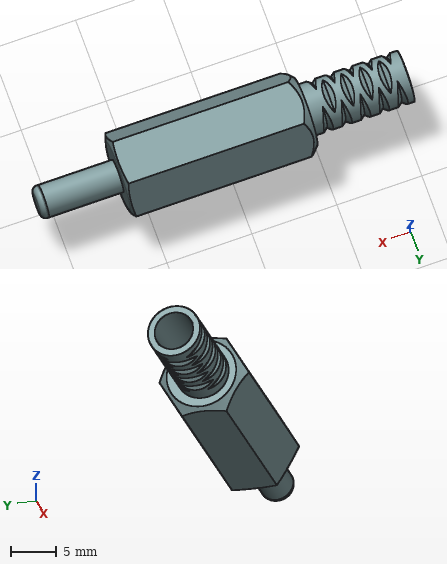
import cadquery as cq
import math

total_length = 43.5
sleeve_length = 11.85
plug_length = 9.55
tip_length = 0.83
hex_start = sleeve_length
hex_end = total_length - plug_length
barrel_end = total_length - tip_length

hex_across_corners = 10.3
hex_across_flats = 8.85
sleeve_offset = 0.152
sleeve_radius = 3.0
bore_radius = 2.2
plug_radius = 1.9
tip_fillet = 0.65

bevel_face_radius = 4.0
front_bevel_length = hex_across_corners / 2 - bevel_face_radius
rear_bevel_length = 0.35

groove_depth = 0.45
groove_angle = 105.0
groove_cutter_height = 1.3
side_groove_count = 5
first_groove = 1.35
side_groove_span = 8.8
groove_pitch = side_groove_span / (side_groove_count - 1)
side_groove_arc_radius = 3.4
top_groove_count = side_groove_count - 1
top_groove_arc_radius = 6.45


def cylinder(start, end, radius):
    """Solid cylinder along X."""
    return cq.Workplane("YZ", origin=(start, 0, 0)).circle(radius).extrude(end - start)


def make_hexagon():
    """Hexagonal bar with both ends bevelled by cones."""
    corner = hex_across_corners / 2
    flat = hex_across_flats / 2
    bar = (
        cq.Workplane("YZ", origin=(hex_start, 0, 0))
        .polyline([
            (corner, 0), (corner / 2, flat), (-corner / 2, flat),
            (-corner, 0), (-corner / 2, -flat), (corner / 2, -flat),
        ])
        .close()
        .extrude(hex_end - hex_start)
    )
    bevel_envelope = (
        cq.Workplane("XY")
        .polyline([
            (hex_start, 0),
            (hex_start, bevel_face_radius),
            (hex_start + front_bevel_length, corner),
            (hex_end - rear_bevel_length, corner),
            (hex_end, bevel_face_radius),
            (hex_end, 0),
        ])
        .close()
        .revolve(360, (0, 0, 0), (1, 0, 0))
    )
    return bar.intersect(bevel_envelope)


def make_groove_cutter(x, arc_radius, angle):
    """V-edged half ring whose axis is offset from the sleeve axis, so the groove fades out.

    The groove is deepest on +Y before it is turned by `angle` degrees about X.
    """
    bottom = sleeve_radius - groove_depth
    axis_y = bottom - arc_radius
    top = bottom + groove_cutter_height
    half_width = groove_cutter_height * math.tan(math.radians(groove_angle / 2))
    profile = (
        cq.Workplane("XY")
        .polyline([(x, bottom), (x - half_width, top), (x + half_width, top)])
        .close()
    )
    ring = profile.revolve(180, (0, axis_y, 0), (1, axis_y, 0))
    ring = ring.rotate((0, axis_y, 0), (1, axis_y, 0), -90)
    return ring.rotate((0, 0, 0), (1, 0, 0), angle)


def make_sleeve():
    """Hollow strain relief centred on the X axis, with staggered grooves on four sides."""
    sleeve = cylinder(0, sleeve_length, sleeve_radius)
    for index in range(side_groove_count):
        x = first_groove + index * groove_pitch
        for angle in (0, 180):
            sleeve = sleeve.cut(make_groove_cutter(x, side_groove_arc_radius, angle))
    for index in range(top_groove_count):
        x = first_groove + groove_pitch / 2 + index * groove_pitch
        for angle in (90, 270):
            sleeve = sleeve.cut(make_groove_cutter(x, top_groove_arc_radius, angle))
    return sleeve.cut(cylinder(0, sleeve_length, bore_radius))


def make_housing():
    """Hexagonal grip and hollow strain relief in one piece."""
    return make_hexagon().union(make_sleeve().translate((0, -sleeve_offset, 0)))


def make_barrel():
    """Cylindrical contact of the plug."""
    return cylinder(hex_end, barrel_end, plug_radius)


def make_tip():
    """Rounded disc closing the end of the barrel."""
    return cylinder(barrel_end, total_length, plug_radius).faces(">X").edges().fillet(tip_fillet)


housing = make_housing()
barrel = make_barrel()
tip = make_tip()

result = cq.Compound.makeCompound([housing.val(), barrel.val(), tip.val()])